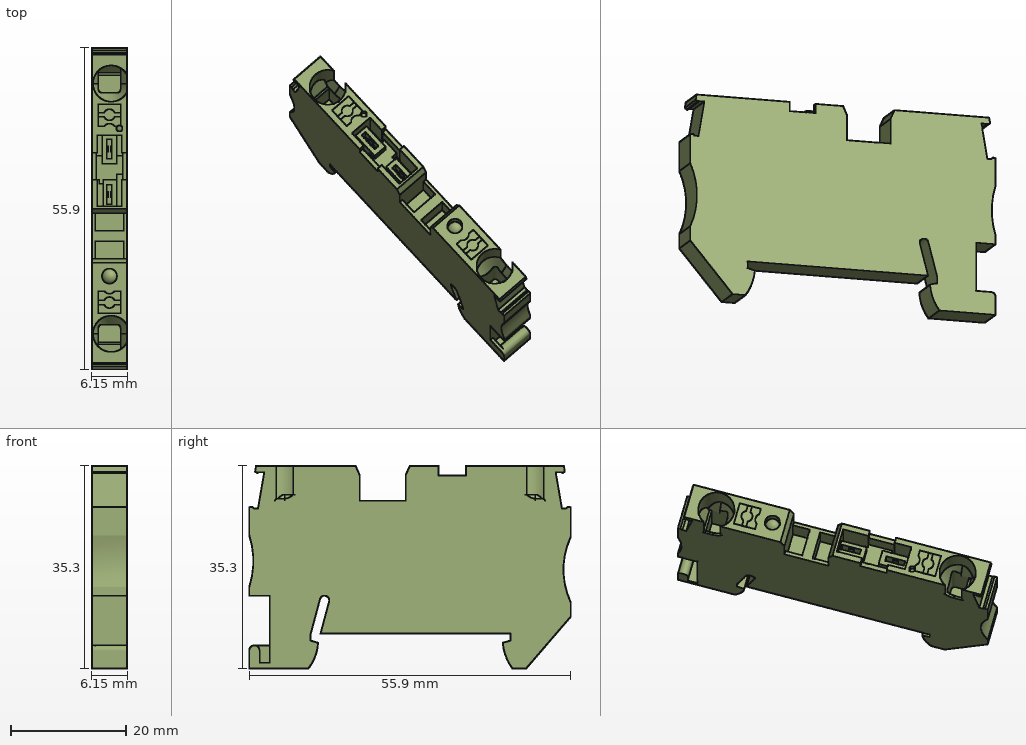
import cadquery as cq
import math

WIDTH = 6.15
LENGTH = 55.9
HEIGHT = 35.25
SIDE_X = WIDTH / 2
END_Y = LENGTH / 2

LIP_Y = 26.77
LIP_TIP_Y = 26.94
LIP_TIP_LOW_Z = 34.25
LIP_BEAD_Y = 26.45
LIP_BEAD_Z = 33.92
GROOVE_TOP_Y = 25.35
GROOVE_TOP_Z = 34.1
GROOVE_FLOOR_Y = 26.43
GROOVE_FLOOR_Z = 27.85
RIDGE_FOOT_Y = 27.1
RIDGE_Y = 27.5
RIDGE_Z = 28.16
SHOULDER_Z = 28.05

TALL_GRIP_TOP_Z = 22.85
TALL_GRIP_LOW_Z = 11.55
TALL_GRIP_DEPTH = 1.25
SHORT_GRIP_TOP_Z = 23.15
SHORT_GRIP_LOW_Z = 14.2
SHORT_GRIP_DEPTH = 0.7

RAIL_Z = 6.07
HOOK_UNDER_Z = 4.87
HOOK_TIP_Z = 4.5
SLOPE_TOP_Z = 9.0
FIXED_FOOT_OUTER_Y = 20.2
FIXED_FOOT_INNER_Y = 17.8
FIXED_FOOT_BULGE = (16.95, 1.42)
FIXED_HOOK_TIP_Y = 16.1
FIXED_HOOK_ROOT_Y = 17.45

SPRING_FOOT_INNER_Y = -17.65
SPRING_FOOT_BULGE = (-16.75, 1.42)
SPRING_HOOK_TIP_Y = -15.95
SPRING_HOOK_ROOT_Y = -17.27
RELIEF_TILT = math.radians(15)
RELIEF_RADIUS = 0.8
RELIEF_END_Y = -14.85
RELIEF_END_Z = 11.85
RELEASE_NOTCH_Y = -24.4
RELEASE_NOTCH_TOP_Z = 12.65
RELEASE_NOTCH_LOW_Z = 4.05
RELEASE_TOE_RADIUS = 0.9
RELEASE_TOE_Y = -END_Y + RELEASE_TOE_RADIUS
RELEASE_TOE_Z = RELEASE_NOTCH_LOW_Z - RELEASE_TOE_RADIUS
RELEASE_POCKET_WALL = 0.6
RELEASE_POCKET_DEPTH = 3.0

GAP_CENTRE_Y = -4.74
GAP_HALF = 3.97
GAP_TOP_HALF = 4.7
GAP_CHAMFER_Z = 33.62
GAP_FLOOR_Z = 29.2

WINDOW_HALF_X = 2.45
WINDOW_LENGTH = 3.04
WINDOW_BRIDGE = 1.86
WINDOW_DEPTH = 5.0

FUNNEL_X = 0.29
FUNNEL_Y = 21.75
FUNNEL_RADIUS = 3.15
FUNNEL_CYLINDER_DEPTH = 5.0
FUNNEL_CONE_DEPTH = 3.0
FUNNEL_DEPTH = 15.0
THROAT_HALF_X = 1.92
THROAT_INNER_Y = 20.15
THROAT_OUTER_Y = 23.2
RAMP_FOOT_Y = 23.6
THROAT_CORNER_RADIUS = 0.6

BUTTON_HALF_X = 1.93
BUTTON_INNER_Y = 14.33
BUTTON_OUTER_Y = 18.15
BUTTON_RECESS = 0.1
BUTTON_BITE_HALF_X = 0.9
BUTTON_BITE_DEPTH = 0.45
DRIVER_SLOT_Y = 16.32
DRIVER_SLOT_WIDTH = 0.76
DRIVER_HOLE_RADIUS = 0.97
DRIVER_DEPTH = 0.2

PIN_HOLE_X = 1.73
PIN_HOLE_Y = 13.95
PIN_HOLE_RADIUS = 0.53
PIN_HOLE_DEPTH = 2.0
PIN_FLOOR_RADIUS = 1.6
DOME_HOLE_Y = -11.72
DOME_RADIUS = 1.31
DOME_TOP_DEPTH = 0.7

SHAFT_HALF_X = 2.1
SHAFT_LOW_Y = 0.44
SHAFT_HIGH_Y = 12.75
SHAFT_FLOOR_Z = 30.0
NOTCH_LOW_Y = 5.0
NOTCH_HIGH_Y = 9.7
NOTCH_FLOOR_Z = 33.6
NOTCH_HALF_X = 2.28
WELL_DEPTH = 2.0
UPPER_WELL_LOW_Y = 9.21
RIGHT_WELL_HIGH_Y = 6.01
LEFT_WELL_HIGH_Y = 4.31
LEFT_WELL_STEP_X = -1.78
SOCKET_RIGHT_X = 1.27
UPPER_SOCKET_LEFT_X = -1.26
LOWER_SOCKET_LEFT_X = -1.1
SOCKET_TOP_Z = 31.85
UPPER_SOCKET_LOW_Y = 7.77
LOWER_SOCKET_HIGH_Y = 4.99
SOCKET_SLOT_HALF_X = 0.43
SOCKET_SLOT_LENGTH = 3.38
UPPER_SOCKET_SLOT_Y = 10.4
LOWER_SOCKET_SLOT_Y = 2.44
SOCKET_SLOT_DEPTH = 3.0
CLAMP_HALF_GAP = 0.22
CLAMP_LENGTH = 0.95
CLAMP_DEPTH = 0.5


def box(x0, x1, y0, y1, z0, z1):
    """Axis-aligned box between two opposite corners."""
    return cq.Workplane("XY").box(x1 - x0, y1 - y0, z1 - z0, centered=False).translate((x0, y0, z0))


def cylinder(x, y, radius, z0, z1):
    return cq.Workplane("XY").circle(radius).extrude(z1 - z0).translate((x, y, z0))


def mirrored_in_y(body):
    return body.mirror("XZ")


def marker_groove_points():
    """Outline of the +Y marker groove, from the top edge down to the shoulder."""
    return [
        (LIP_Y, HEIGHT),
        (LIP_TIP_Y, LIP_TIP_LOW_Z),
        (LIP_BEAD_Y, LIP_BEAD_Z),
        (LIP_BEAD_Y, GROOVE_TOP_Z),
        (GROOVE_TOP_Y, GROOVE_TOP_Z),
        (GROOVE_FLOOR_Y, GROOVE_FLOOR_Z),
        (RIDGE_FOOT_Y, GROOVE_FLOOR_Z),
        (RIDGE_Y, RIDGE_Z),
        (END_Y, SHOULDER_Z),
    ]


def make_body():
    """Side profile of the housing, extruded over the full width."""
    groove = marker_groove_points()
    far_groove = [(-y, z) for y, z in reversed(groove)]

    across_y = RELIEF_RADIUS * math.cos(RELIEF_TILT)
    across_z = RELIEF_RADIUS * math.sin(RELIEF_TILT)
    slot_inner = (RELIEF_END_Y + across_y, RELIEF_END_Z - across_z)
    slot_outer = (RELIEF_END_Y - across_y, RELIEF_END_Z + across_z)
    slot_crown = (
        RELIEF_END_Y + RELIEF_RADIUS * math.sin(RELIEF_TILT),
        RELIEF_END_Z + RELIEF_RADIUS * math.cos(RELIEF_TILT),
    )
    slot_mouth_y = slot_inner[0] - (slot_inner[1] - RAIL_Z) * math.tan(RELIEF_TILT)
    slot_bend_z = slot_outer[1] - (slot_outer[0] - SPRING_HOOK_ROOT_Y) / math.tan(RELIEF_TILT)

    toe_reach = RELEASE_TOE_RADIUS * math.sqrt(0.5)

    profile = (
        cq.Workplane("YZ")
        .polyline(groove)
        .lineTo(END_Y, TALL_GRIP_TOP_Z)
        .threePointArc(
            (END_Y - TALL_GRIP_DEPTH, (TALL_GRIP_TOP_Z + TALL_GRIP_LOW_Z) / 2),
            (END_Y, TALL_GRIP_LOW_Z),
        )
        .lineTo(END_Y, SLOPE_TOP_Z)
        .lineTo(FIXED_FOOT_OUTER_Y, 0)
        .lineTo(FIXED_FOOT_INNER_Y, 0)
        .threePointArc(FIXED_FOOT_BULGE, (FIXED_HOOK_TIP_Y, HOOK_TIP_Z))
        .lineTo(FIXED_HOOK_ROOT_Y, HOOK_UNDER_Z)
        .lineTo(FIXED_HOOK_ROOT_Y, RAIL_Z)
        .lineTo(slot_mouth_y, RAIL_Z)
        .lineTo(*slot_inner)
        .threePointArc(slot_crown, slot_outer)
        .lineTo(SPRING_HOOK_ROOT_Y, slot_bend_z)
        .lineTo(SPRING_HOOK_ROOT_Y, HOOK_UNDER_Z)
        .lineTo(SPRING_HOOK_TIP_Y, HOOK_TIP_Z)
        .threePointArc(SPRING_FOOT_BULGE, (SPRING_FOOT_INNER_Y, 0))
        .lineTo(-END_Y, 0)
        .lineTo(-END_Y, RELEASE_TOE_Z)
        .threePointArc(
            (RELEASE_TOE_Y - toe_reach, RELEASE_TOE_Z + toe_reach),
            (RELEASE_TOE_Y, RELEASE_NOTCH_LOW_Z),
        )
        .lineTo(RELEASE_NOTCH_Y, RELEASE_NOTCH_LOW_Z)
        .lineTo(RELEASE_NOTCH_Y, RELEASE_NOTCH_TOP_Z)
        .lineTo(-END_Y, RELEASE_NOTCH_TOP_Z)
        .lineTo(-END_Y, SHORT_GRIP_LOW_Z)
        .threePointArc(
            (-END_Y + SHORT_GRIP_DEPTH, (SHORT_GRIP_TOP_Z + SHORT_GRIP_LOW_Z) / 2),
            (-END_Y, SHORT_GRIP_TOP_Z),
        )
    )
    for point in far_groove:
        profile = profile.lineTo(*point)
    profile = (
        profile.lineTo(GAP_CENTRE_Y - GAP_TOP_HALF, HEIGHT)
        .lineTo(GAP_CENTRE_Y - GAP_HALF, GAP_CHAMFER_Z)
        .lineTo(GAP_CENTRE_Y - GAP_HALF, GAP_FLOOR_Z)
        .lineTo(GAP_CENTRE_Y + GAP_HALF, GAP_FLOOR_Z)
        .lineTo(GAP_CENTRE_Y + GAP_HALF, GAP_CHAMFER_Z)
        .lineTo(GAP_CENTRE_Y + GAP_TOP_HALF, HEIGHT)
        .close()
    )
    return profile.extrude(WIDTH).translate((-SIDE_X, 0, 0))


def release_pocket():
    """Pocket in the floor of the release notch, open to +X, behind a round-topped toe bar."""
    wall_x = -SIDE_X + RELEASE_POCKET_WALL
    floor_z = RELEASE_NOTCH_LOW_Z - RELEASE_POCKET_DEPTH
    bar_y = RELEASE_TOE_Y + RELEASE_TOE_RADIUS
    pocket = box(wall_x, SIDE_X, RELEASE_TOE_Y, RELEASE_NOTCH_Y, floor_z, RELEASE_NOTCH_LOW_Z)
    bar = box(wall_x, SIDE_X, RELEASE_TOE_Y, bar_y, floor_z, RELEASE_TOE_Z)
    round_top = (
        cq.Workplane("YZ")
        .center(RELEASE_TOE_Y, RELEASE_TOE_Z)
        .circle(RELEASE_TOE_RADIUS)
        .extrude(SIDE_X, both=True)
    )
    return pocket.cut(bar).cut(round_top)


def label_windows():
    """Two pockets in the gap floor, separated by a bridge."""
    near = WINDOW_BRIDGE / 2
    far = near + WINDOW_LENGTH
    floor_z = GAP_FLOOR_Z - WINDOW_DEPTH
    upper = box(-WINDOW_HALF_X, WINDOW_HALF_X, GAP_CENTRE_Y + near, GAP_CENTRE_Y + far, floor_z, GAP_FLOOR_Z)
    lower = box(-WINDOW_HALF_X, WINDOW_HALF_X, GAP_CENTRE_Y - far, GAP_CENTRE_Y - near, floor_z, GAP_FLOOR_Z)
    return upper.union(lower)


def wire_funnel():
    """Wire entry at +Y: a bore open to the +X side, tapering into a D-shaped throat."""
    cone_top_z = HEIGHT - FUNNEL_CYLINDER_DEPTH
    cone_low_z = cone_top_z - FUNNEL_CONE_DEPTH
    bottom_z = HEIGHT - FUNNEL_DEPTH
    throat_radius = FUNNEL_Y - THROAT_INNER_Y
    bore = cylinder(FUNNEL_X, FUNNEL_Y, FUNNEL_RADIUS, cone_top_z, HEIGHT)
    cone = cq.Workplane(
        cq.Solid.makeCone(
            throat_radius,
            FUNNEL_RADIUS,
            FUNNEL_CONE_DEPTH,
            pnt=cq.Vector(FUNNEL_X, FUNNEL_Y, cone_low_z),
        )
    )
    throat = (
        box(-THROAT_HALF_X, THROAT_HALF_X, THROAT_INNER_Y, THROAT_OUTER_Y, bottom_z, HEIGHT)
        .edges("|Z and <Y")
        .fillet(THROAT_CORNER_RADIUS)
    )
    envelope = cylinder(FUNNEL_X, FUNNEL_Y, FUNNEL_RADIUS, cone_low_z, cone_top_z)
    ramp = (
        cq.Workplane("YZ")
        .polyline(
            [
                (RAMP_FOOT_Y, cone_low_z),
                (FUNNEL_Y + FUNNEL_RADIUS, cone_top_z),
                (FUNNEL_Y, cone_top_z),
                (FUNNEL_Y, cone_low_z),
            ]
        )
        .close()
        .extrude(THROAT_HALF_X, both=True)
        .intersect(envelope)
    )
    funnel = bore.union(cone).union(throat).union(ramp)
    for side in (-1, 1):
        edge_x = side * THROAT_HALF_X
        flank = (
            cq.Workplane("XZ", origin=(0, FUNNEL_Y, 0))
            .polyline(
                [
                    (edge_x, cone_low_z),
                    (edge_x, cone_top_z),
                    (FUNNEL_X + side * FUNNEL_RADIUS, cone_top_z),
                ]
            )
            .close()
            .extrude(-FUNNEL_RADIUS)
        )
        funnel = funnel.union(flank.intersect(envelope))
    return funnel


def release_button():
    """Shallow button recess at +Y with a driver slot and its round centre."""
    recess = (
        cq.Workplane("XY", origin=(0, 0, HEIGHT - BUTTON_RECESS))
        .moveTo(-BUTTON_HALF_X, BUTTON_INNER_Y)
        .lineTo(-BUTTON_BITE_HALF_X, BUTTON_INNER_Y)
        .threePointArc((0, BUTTON_INNER_Y + BUTTON_BITE_DEPTH), (BUTTON_BITE_HALF_X, BUTTON_INNER_Y))
        .lineTo(BUTTON_HALF_X, BUTTON_INNER_Y)
        .lineTo(BUTTON_HALF_X, BUTTON_OUTER_Y)
        .lineTo(-BUTTON_HALF_X, BUTTON_OUTER_Y)
        .close()
        .extrude(BUTTON_RECESS)
    )
    slot_half = DRIVER_SLOT_WIDTH / 2
    slot_z = HEIGHT - DRIVER_DEPTH
    slot = box(
        -BUTTON_HALF_X,
        BUTTON_HALF_X,
        DRIVER_SLOT_Y - slot_half,
        DRIVER_SLOT_Y + slot_half,
        slot_z,
        HEIGHT,
    )
    centre = cylinder(0, DRIVER_SLOT_Y, DRIVER_HOLE_RADIUS, slot_z, HEIGHT)
    return recess.union(slot).union(centre)


def pin_hole():
    """Small round hole whose floor curves down towards -Y."""
    hole = cylinder(PIN_HOLE_X, PIN_HOLE_Y, PIN_HOLE_RADIUS, HEIGHT - PIN_HOLE_DEPTH, HEIGHT)
    floor = (
        cq.Workplane("YZ")
        .center(PIN_HOLE_Y + PIN_HOLE_RADIUS, HEIGHT - PIN_HOLE_DEPTH - PIN_FLOOR_RADIUS / 2)
        .circle(PIN_FLOOR_RADIUS)
        .extrude(SIDE_X)
    )
    return hole.cut(floor)


def domed_hole():
    """Round hole whose bottom is a hemispherical dome."""
    dome_base_z = HEIGHT - DOME_TOP_DEPTH - DOME_RADIUS
    hole = cylinder(0, DOME_HOLE_Y, DOME_RADIUS, dome_base_z, HEIGHT)
    dome = cq.Workplane("XY").sphere(DOME_RADIUS).translate((0, DOME_HOLE_Y, dome_base_z))
    return hole.cut(dome)


def socket_slot(centre_y):
    """Contact slot in a socket top, pinched halfway by two clamp ribs."""
    low_z = SOCKET_TOP_Z - SOCKET_SLOT_DEPTH
    half_length = SOCKET_SLOT_LENGTH / 2
    half_clamp = CLAMP_LENGTH / 2
    clamp_z = SOCKET_TOP_Z - CLAMP_DEPTH
    slot = box(
        -SOCKET_SLOT_HALF_X,
        SOCKET_SLOT_HALF_X,
        centre_y - half_length,
        centre_y + half_length,
        low_z,
        SOCKET_TOP_Z,
    )
    for x0, x1 in ((-SOCKET_SLOT_HALF_X, -CLAMP_HALF_GAP), (CLAMP_HALF_GAP, SOCKET_SLOT_HALF_X)):
        slot = slot.cut(box(x0, x1, centre_y - half_clamp, centre_y + half_clamp, low_z, clamp_z))
    return slot


def bridge_shaft():
    """Open shaft in the tall tower, with deeper wells beside two slotted contact sockets."""
    well_z = SHAFT_FLOOR_Z - WELL_DEPTH
    shaft = box(-SHAFT_HALF_X, SHAFT_HALF_X, SHAFT_LOW_Y, SHAFT_HIGH_Y, SHAFT_FLOOR_Z, HEIGHT)
    widening = box(-NOTCH_HALF_X, NOTCH_HALF_X, NOTCH_LOW_Y, NOTCH_HIGH_Y, SHAFT_FLOOR_Z, HEIGHT)
    wells = [
        box(-SHAFT_HALF_X, SHAFT_HALF_X, UPPER_WELL_LOW_Y, SHAFT_HIGH_Y, well_z, HEIGHT),
        box(-NOTCH_HALF_X, NOTCH_HALF_X, UPPER_WELL_LOW_Y, NOTCH_HIGH_Y, well_z, HEIGHT),
        box(SOCKET_RIGHT_X, SHAFT_HALF_X, SHAFT_LOW_Y, RIGHT_WELL_HIGH_Y, well_z, HEIGHT),
        box(SOCKET_RIGHT_X, NOTCH_HALF_X, NOTCH_LOW_Y, RIGHT_WELL_HIGH_Y, well_z, HEIGHT),
        box(-SHAFT_HALF_X, LOWER_SOCKET_LEFT_X, SHAFT_LOW_Y, LEFT_WELL_HIGH_Y, well_z, HEIGHT),
        box(-SHAFT_HALF_X, LEFT_WELL_STEP_X, SHAFT_LOW_Y, NOTCH_LOW_Y, well_z, HEIGHT),
    ]
    sockets = [
        box(UPPER_SOCKET_LEFT_X, SOCKET_RIGHT_X, UPPER_SOCKET_LOW_Y, SHAFT_HIGH_Y, well_z, SOCKET_TOP_Z),
        box(LOWER_SOCKET_LEFT_X, SOCKET_RIGHT_X, SHAFT_LOW_Y, LOWER_SOCKET_HIGH_Y, well_z, SOCKET_TOP_Z),
    ]
    shaft = shaft.union(widening)
    for well in wells:
        shaft = shaft.union(well)
    for socket in sockets:
        shaft = shaft.cut(socket)
    for centre_y in (UPPER_SOCKET_SLOT_Y, LOWER_SOCKET_SLOT_Y):
        shaft = shaft.union(socket_slot(centre_y))
    return shaft


def side_notch():
    """Notch through both walls of the bridge shaft."""
    return box(-SIDE_X, SIDE_X, NOTCH_LOW_Y, NOTCH_HIGH_Y, NOTCH_FLOOR_Z, HEIGHT)


body = make_body()
for paired_cut in (wire_funnel(), release_button()):
    body = body.cut(paired_cut).cut(mirrored_in_y(paired_cut))
body = body.cut(release_pocket())
body = body.cut(label_windows())
body = body.cut(bridge_shaft())
body = body.cut(side_notch())
body = body.cut(domed_hole())
body = body.cut(pin_hole())

result = body